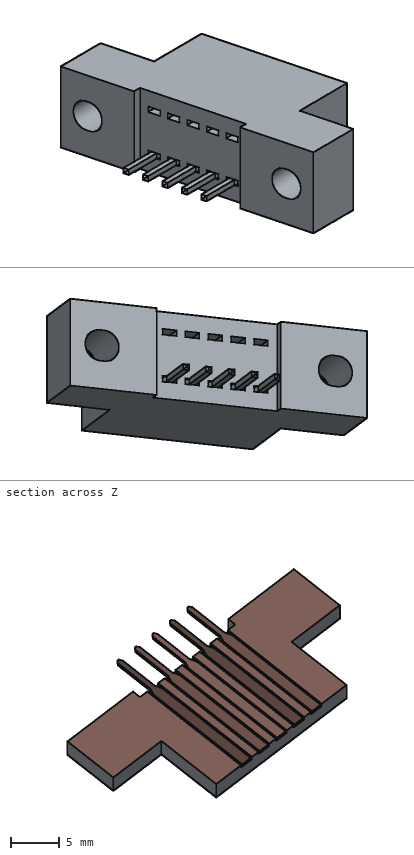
import cadquery as cq

LENGTH = 33.02
HEIGHT = 9.4
EAR_DEPTH = 6.85
BLOCK_WIDTH = 19.02
BLOCK_DEPTH = 8.12
HOUSING_DEPTH = EAR_DEPTH + BLOCK_DEPTH

RECESS_WIDTH = 13.85
RECESS_DEPTH = 1.02

HOLE_SPACING = 25.95
HOLE_WIDTH = 3.73
HOLE_HEIGHT = 3.35

CONTACT_COUNT = 5
CONTACT_PITCH = 2.55
ROW_SPACING = 2 * CONTACT_PITCH
SLOT_WIDTH = 1.55
SLOT_HEIGHT = 0.63

BLADE_WIDTH = 1.3
SHOULDER_LENGTH = 0.83
PIN_WIDTH = 0.65
PIN_REACH = 4.1
TIP_LENGTH = 0.33
TIP_END = 0.23

SLOT_XS = [(column - (CONTACT_COUNT - 1) / 2) * CONTACT_PITCH for column in range(CONTACT_COUNT)]
LOWER_ROW_Z = -ROW_SPACING / 2
UPPER_ROW_Z = ROW_SPACING / 2


def box(width, depth, height, front_y):
    """Box centred in X and Z whose front face lies at front_y."""
    return (
        cq.Workplane("XY")
        .box(width, depth, height, centered=(True, False, True))
        .translate((0, front_y, 0))
    )


def make_mounting_holes():
    return (
        cq.Workplane("XZ")
        .pushPoints([(-HOLE_SPACING / 2, 0), (HOLE_SPACING / 2, 0)])
        .slot2D(HOLE_WIDTH, HOLE_HEIGHT)
        .extrude(-EAR_DEPTH)
    )


def make_contact_slots():
    return (
        cq.Workplane("XZ")
        .pushPoints([(x, z) for x in SLOT_XS for z in (LOWER_ROW_Z, UPPER_ROW_Z)])
        .rect(SLOT_WIDTH, SLOT_HEIGHT)
        .extrude(-HOUSING_DEPTH)
    )


def make_housing():
    ears = box(LENGTH, EAR_DEPTH, HEIGHT, 0)
    block = box(BLOCK_WIDTH, BLOCK_DEPTH, HEIGHT, EAR_DEPTH)
    recess = box(RECESS_WIDTH, RECESS_DEPTH, HEIGHT, 0)
    return ears.union(block).cut(recess).cut(make_mounting_holes()).cut(make_contact_slots())


def make_pin_tip():
    """Pyramid frustum that closes the front end of a contact."""
    return (
        cq.Workplane("XZ", origin=(0, TIP_LENGTH - PIN_REACH, 0))
        .rect(PIN_WIDTH, SLOT_HEIGHT)
        .workplane(offset=TIP_LENGTH)
        .rect(TIP_END, TIP_END)
        .loft()
    )


def make_contact():
    """Contact centred on X = Z = 0; its blade fills the slot height and ends flush with the back."""
    blade_start_y = RECESS_DEPTH + SHOULDER_LENGTH
    right_side = [
        (PIN_WIDTH / 2, TIP_LENGTH - PIN_REACH),
        (PIN_WIDTH / 2, RECESS_DEPTH),
        (BLADE_WIDTH / 2, blade_start_y),
        (BLADE_WIDTH / 2, HOUSING_DEPTH),
    ]
    left_side = [(-x, y) for x, y in reversed(right_side)]
    body = (
        cq.Workplane("XY", origin=(0, 0, -SLOT_HEIGHT / 2))
        .polyline(right_side + left_side)
        .close()
        .extrude(SLOT_HEIGHT)
    )
    return body.union(make_pin_tip())


housing = make_housing()
contact = make_contact()
contacts = [contact.translate((x, 0, LOWER_ROW_Z)) for x in SLOT_XS]

result = cq.Compound.makeCompound([housing.val(), *[placed.val() for placed in contacts]])